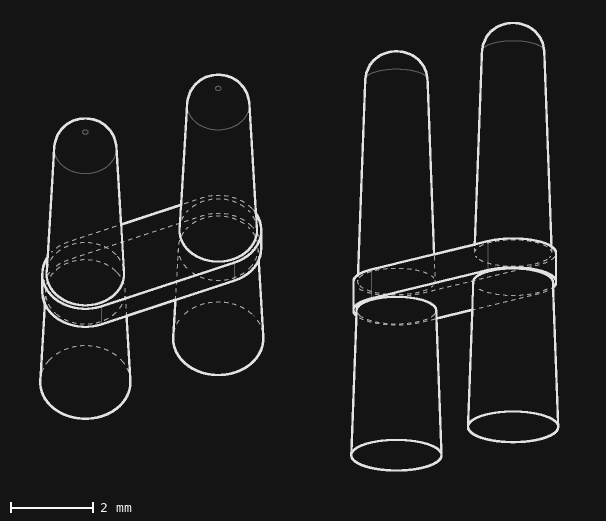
import cadquery as cq

pin_height = 10.4
base_diameter = 2.2
top_diameter = 1.48
tip_radius = 0.7
pin_spacing = 3.49

link_bottom = 3.75
link_thickness = 0.75
link_width = 2.1


def make_pin(y):
    """Tapered post standing at the given Y, its tip rounded to a small flat."""
    return (
        cq.Workplane("XY")
        .center(0, y)
        .circle(base_diameter / 2)
        .workplane(offset=pin_height)
        .circle(top_diameter / 2)
        .loft(ruled=True)
        .faces(">Z")
        .edges()
        .fillet(tip_radius)
    )


def make_link():
    """Flat bar whose round ends are centred on the pins."""
    return (
        cq.Workplane("XY")
        .workplane(offset=link_bottom)
        .slot2D(pin_spacing + link_width, link_width, 90)
        .extrude(link_thickness)
    )


result = make_link()
for side in (-1, 1):
    result = result.union(make_pin(side * pin_spacing / 2))